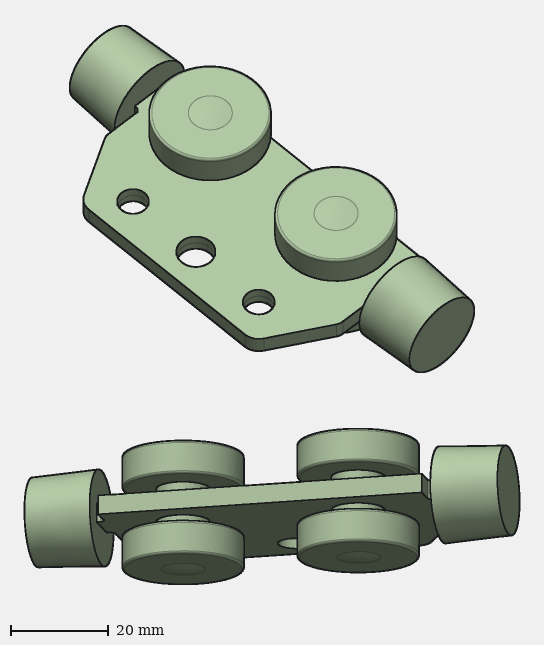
import cadquery as cq
import math

plate_thickness = 4.0
plate_back_y = 10.0
plate_front_y = -30.0
body_half_width = 34.5
shoulder_half_width = 34.2
bevel_depth = 16.0
bevel_angle = 60.0
bevel_end_half_width = body_half_width - bevel_depth / math.tan(math.radians(bevel_angle))
bevel_start_y = plate_front_y + bevel_depth
front_corner_radius = 4.0
side_corner_radius = 3.0

tongue_half_height = 4.25
tongue_root_radius = 1.0
tongue_embedding = 2.0

hole_row_y = -22.0
centre_hole_diameter = 8.0
side_hole_diameter = 6.5

wheel_spacing = 37.0
axle_centre_x = 0.3
wheel_diameter = 25.0
wheel_inner_z = 5.0
wheel_width = 7.0
wheel_outer_z = wheel_inner_z + wheel_width
wheel_edge_radius = 0.5
axle_diameter = 11.0
cap_diameter = 9.0
cap_height = 0.4

overall_length = 100.0
buffer_length = 14.0
buffer_base_radius = 10.0
buffer_draft = 3.0
buffer_tip_radius = buffer_base_radius - buffer_length * math.tan(math.radians(buffer_draft))
buffer_tip_x = overall_length / 2
buffer_base_x = buffer_tip_x - buffer_length
tongue_end_x = buffer_base_x + tongue_embedding

axle_positions = (axle_centre_x - wheel_spacing / 2, axle_centre_x + wheel_spacing / 2)


def fillet_plate_corners(plate, half_width, y, radius):
    """Round the mirrored pair of upright plate edges at (+-half_width, y)."""
    corners = [(x, y, 0) for x in (-half_width, half_width)]
    for corner in corners:
        plate = plate.edges(cq.selectors.NearestToPointSelector(corner)).fillet(radius)
    return plate


def make_plate():
    """Plate with bevelled front corners, end tongues and three holes."""
    right_side = [
        (bevel_end_half_width, plate_front_y),
        (body_half_width, bevel_start_y),
        (body_half_width, -tongue_half_height),
        (tongue_end_x, -tongue_half_height),
        (tongue_end_x, tongue_half_height),
        (shoulder_half_width, tongue_half_height),
        (shoulder_half_width, plate_back_y),
    ]
    left_side = [(-x, y) for x, y in reversed(right_side)]
    plate = (
        cq.Workplane("XY")
        .polyline(right_side + left_side)
        .close()
        .extrude(plate_thickness / 2, both=True)
    )
    plate = fillet_plate_corners(plate, bevel_end_half_width, plate_front_y, front_corner_radius)
    plate = fillet_plate_corners(plate, body_half_width, bevel_start_y, side_corner_radius)
    plate = fillet_plate_corners(plate, body_half_width, -tongue_half_height, tongue_root_radius)
    plate = fillet_plate_corners(plate, shoulder_half_width, tongue_half_height, tongue_root_radius)

    side_holes = [(x, hole_row_y) for x in axle_positions]
    holes = cq.Workplane("XY").pushPoints(side_holes).circle(side_hole_diameter / 2)
    holes = holes.extrude(plate_thickness, both=True)
    centre_hole = cq.Workplane("XY").center(axle_centre_x, hole_row_y).circle(centre_hole_diameter / 2)
    centre_hole = centre_hole.extrude(plate_thickness, both=True)
    return plate.cut(holes).cut(centre_hole)


def make_wheel():
    """Upper wheel on the Z axis, with a shallow domed axle cap on its outer face."""
    wheel = (
        cq.Workplane("XY")
        .workplane(offset=wheel_inner_z)
        .circle(wheel_diameter / 2)
        .extrude(wheel_width)
        .edges()
        .fillet(wheel_edge_radius)
    )
    cap_radius = cap_diameter / 2
    dome_radius = (cap_radius**2 + cap_height**2) / (2 * cap_height)
    dome_centre_z = wheel_outer_z + cap_height - dome_radius
    half_angle = math.asin(cap_radius / dome_radius) / 2
    arc_middle = (
        dome_radius * math.sin(half_angle),
        dome_centre_z + dome_radius * math.cos(half_angle),
    )
    cap = (
        cq.Workplane("XZ")
        .moveTo(0, wheel_inner_z)
        .lineTo(cap_radius, wheel_inner_z)
        .lineTo(cap_radius, wheel_outer_z)
        .threePointArc(arc_middle, (0, wheel_outer_z + cap_height))
        .close()
        .revolve(360, (0, 0), (0, 1))
    )
    return wheel.union(cap)


def make_wheel_pair():
    """Axle on the Z axis carrying a wheel above and a wheel below the plate."""
    axle = cq.Workplane("XY").circle(axle_diameter / 2).extrude(wheel_inner_z, both=True)
    wheel = make_wheel()
    return axle.union(wheel).union(wheel.mirror("XY"))


def make_buffer():
    """Round buffer at the +X end, tapering towards its tip."""
    return (
        cq.Workplane("XY")
        .moveTo(buffer_base_x, 0)
        .lineTo(buffer_base_x, buffer_base_radius)
        .lineTo(buffer_tip_x, buffer_tip_radius)
        .lineTo(buffer_tip_x, 0)
        .close()
        .revolve(360, (0, 0), (1, 0))
    )


result = make_plate()

for axle_x in axle_positions:
    result = result.union(make_wheel_pair().translate((axle_x, 0, 0)))

end_buffer = make_buffer()
result = result.union(end_buffer).union(end_buffer.mirror("YZ"))